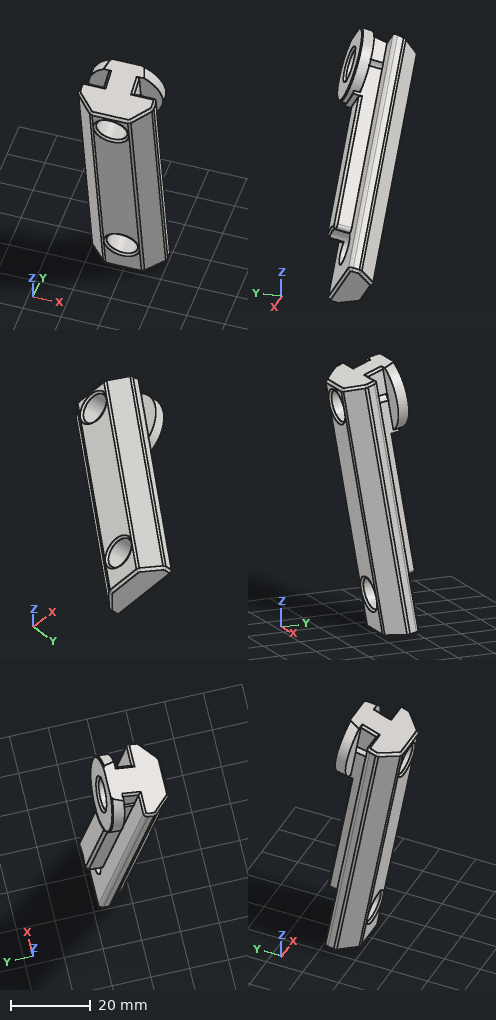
import cadquery as cq
import math

LEAN_ANGLE = 10.0
TOP_SLOPE = 10.0

BODY_WIDTH = 20.0
BODY_DEPTH = 8.0
FRONT_BEVEL = 4.85
FRONT_HEIGHT = 67.1
FRONT_EDGE_CHAMFER = 0.4
EDGE_RADIUS = 1.0
END_CHAMFER = 0.7
TOP_CHAMFER = 0.65

TONGUE_WIDTH = 8.0
TONGUE_DEPTH = 4.4
TONGUE_BOTTOM = 13.6

HOLE_DIAMETER = 8.2
HOLE_CHAMFER = 0.6
HOLE_SPACING = 50.7
UPPER_HOLE_HEIGHT = 61.1

DISC_DIAMETER = 19.55
DISC_THICKNESS = 3.2
DISC_CHAMFER = 0.3

tongue_back = BODY_DEPTH + TONGUE_DEPTH
total_depth = tongue_back + DISC_THICKNESS
top_rise = total_depth * math.tan(math.radians(TOP_SLOPE))
full_height = FRONT_HEIGHT + top_rise
lower_hole_height = UPPER_HOLE_HEIGHT - HOLE_SPACING
holes = ((lower_hole_height, tongue_back), (UPPER_HOLE_HEIGHT, total_depth))


def cylinder_along_y(diameter, length, height, start=0.0):
    """Cylinder pointing toward +Y, centred on x = 0 at the given height."""
    origin = cq.Vector(0, start, height)
    return cq.Workplane(cq.Solid.makeCylinder(diameter / 2, length, origin, cq.Vector(0, 1, 0)))


def cone_along_y(start_diameter, end_diameter, length, height, start):
    """Cone pointing toward +Y, centred on x = 0 at the given height."""
    origin = cq.Vector(0, start, height)
    return cq.Workplane(
        cq.Solid.makeCone(start_diameter / 2, end_diameter / 2, length, origin, cq.Vector(0, 1, 0))
    )


def envelope():
    """Everything below the sloping top face."""
    return (
        cq.Workplane("YZ")
        .polyline([(0, 0), (total_depth, 0), (total_depth, full_height), (0, FRONT_HEIGHT)])
        .close()
        .extrude(BODY_WIDTH, both=True)
    )


def body():
    """Long bar with two bevelled front corners and softened long edges."""
    half_width = BODY_WIDTH / 2
    half_front = half_width - FRONT_BEVEL
    outline = [
        (-half_front, 0),
        (half_front, 0),
        (half_width, FRONT_BEVEL),
        (half_width, BODY_DEPTH),
        (-half_width, BODY_DEPTH),
        (-half_width, FRONT_BEVEL),
    ]
    bar = cq.Workplane("XY").polyline(outline).close().extrude(full_height)
    bar = bar.edges("|Z and (not >Y)").chamfer(FRONT_EDGE_CHAMFER)
    bar = bar.edges("|Z and >Y").fillet(EDGE_RADIUS)
    return bar.faces("<Z").chamfer(END_CHAMFER)


def tongue_block(bottom, depth):
    """Plain block of the tongue width from the given height upward."""
    return (
        cq.Workplane("XY")
        .box(TONGUE_WIDTH, depth, full_height - bottom, centered=(True, False, False))
        .translate((0, BODY_DEPTH, bottom))
    )


def tongue():
    """Guide rib on the back of the body, with a plain neck that reaches into the disc."""
    neck_bottom = UPPER_HOLE_HEIGHT - DISC_DIAMETER / 2
    rib = (
        tongue_block(TONGUE_BOTTOM, TONGUE_DEPTH)
        .edges("|Y and <Z")
        .fillet(EDGE_RADIUS)
        .faces(">Y")
        .edges("not >Z")
        .chamfer(END_CHAMFER)
    )
    neck = tongue_block(neck_bottom, TONGUE_DEPTH + DISC_THICKNESS / 2)
    return rib.union(neck)


def disc():
    """Round plate behind the tongue, around the upper hole."""
    plate = cylinder_along_y(DISC_DIAMETER, DISC_THICKNESS, UPPER_HOLE_HEIGHT, tongue_back)
    return plate.faces(">Y").edges().chamfer(DISC_CHAMFER)


bar = body().union(tongue()).intersect(envelope())
bar = bar.faces(">Z").edges("not >Y").chamfer(TOP_CHAMFER)
result = bar.union(disc().intersect(envelope()))

mouth_diameter = HOLE_DIAMETER + 2 * HOLE_CHAMFER
for hole_height, back in holes:
    result = result.cut(cylinder_along_y(HOLE_DIAMETER, total_depth, hole_height))
    result = result.cut(cone_along_y(mouth_diameter, HOLE_DIAMETER, HOLE_CHAMFER, hole_height, 0))
    back_mouth = back - HOLE_CHAMFER
    result = result.cut(cone_along_y(HOLE_DIAMETER, mouth_diameter, HOLE_CHAMFER, hole_height, back_mouth))

result = result.rotate((0, 0, 0), (1, 0, 0), LEAN_ANGLE)